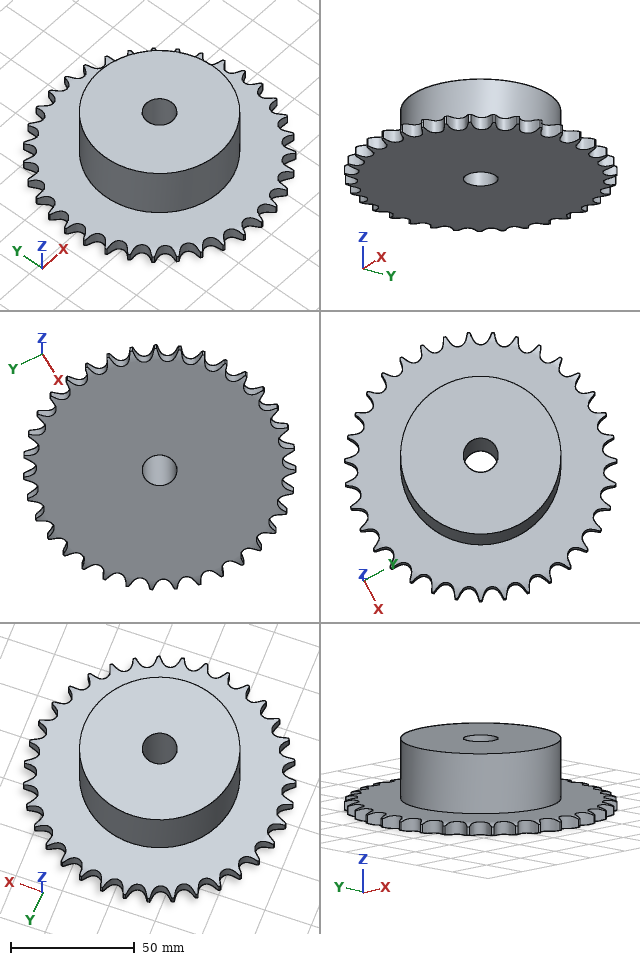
import cadquery as cq
import math

TOOTH_COUNT = 35
PITCH_DIAMETER = 106.2
ROLLER_DIAMETER = 6.4
ROLLER_CLEARANCE = 0.039
TIP_DIAMETER = 110.4
PLATE_THICKNESS = 5.3
FLAT_FACE_DIAMETER = 101.5
TOOTH_SIDE_RADIUS = 10.8
HUB_DIAMETER = 65.0
BORE_DIAMETER = 14.0
TOTAL_HEIGHT = 30.0

TOOTH_ANGLE = 360 / TOOTH_COUNT
PITCH_RADIUS = PITCH_DIAMETER / 2
TIP_RADIUS = TIP_DIAMETER / 2
FLAT_FACE_RADIUS = FLAT_FACE_DIAMETER / 2

SEAT_RADIUS = 0.5025 * ROLLER_DIAMETER + ROLLER_CLEARANCE
WORKING_CENTRE_DISTANCE = 0.8 * ROLLER_DIAMETER
WORKING_RADIUS = SEAT_RADIUS + WORKING_CENTRE_DISTANCE
TOPPING_CENTRE_DISTANCE = 1.4 * ROLLER_DIAMETER
SEAT_END_ANGLE = 35 + 60 / TOOTH_COUNT
WORKING_SPAN_ANGLE = 18 - 56 / TOOTH_COUNT

GAP_OVERSHOOT = 0.2


def make_plate_blank():
    """Disc whose rim curves inward on both sides, tangent to the flat faces."""
    rim_width = TIP_RADIUS - FLAT_FACE_RADIUS

    def side_drop(distance):
        return TOOTH_SIDE_RADIUS - math.sqrt(TOOTH_SIDE_RADIUS**2 - distance**2)

    mid_radius = FLAT_FACE_RADIUS + rim_width / 2
    mid_drop = side_drop(rim_width / 2)
    tip_drop = side_drop(rim_width)
    return (
        cq.Workplane("XZ")
        .lineTo(FLAT_FACE_RADIUS, 0)
        .threePointArc((mid_radius, mid_drop), (TIP_RADIUS, tip_drop))
        .lineTo(TIP_RADIUS, PLATE_THICKNESS - tip_drop)
        .threePointArc((mid_radius, PLATE_THICKNESS - mid_drop), (FLAT_FACE_RADIUS, PLATE_THICKNESS))
        .lineTo(0, PLATE_THICKNESS)
        .close()
        .revolve(360, (0, 0, 0), (0, 1, 0))
    )


def point_from(centre, distance, angle):
    """Point at a distance from a centre, along an angle in degrees from +X."""
    radians = math.radians(angle)
    return (centre[0] + distance * math.cos(radians), centre[1] + distance * math.sin(radians))


def mirrored(point):
    """The same point on the other side of the Y axis."""
    return (-point[0], point[1])


def make_tooth_gap():
    """Cutter for the gap on the +Y axis, between two neighbouring teeth.

    From its bottom, each side is the roller seat, the concave working curve,
    a short straight, and the convex topping curve, all tangent.
    """
    roller_centre = (0, PITCH_RADIUS)
    working_end_angle = SEAT_END_ANGLE - WORKING_SPAN_ANGLE
    working_mid_angle = SEAT_END_ANGLE - WORKING_SPAN_ANGLE / 2

    seat_bottom = (0, PITCH_RADIUS - SEAT_RADIUS)
    seat_end = point_from(roller_centre, SEAT_RADIUS, -SEAT_END_ANGLE)

    working_centre = point_from(roller_centre, WORKING_CENTRE_DISTANCE, 180 - SEAT_END_ANGLE)
    working_mid = point_from(working_centre, WORKING_RADIUS, -working_mid_angle)
    working_end = point_from(working_centre, WORKING_RADIUS, -working_end_angle)

    topping_centre = point_from(roller_centre, TOPPING_CENTRE_DISTANCE, -TOOTH_ANGLE / 2)
    slope = math.radians(working_end_angle)
    topping_radius = (topping_centre[0] - working_end[0]) * math.cos(slope) - (
        topping_centre[1] - working_end[1]
    ) * math.sin(slope)
    topping_start = point_from(topping_centre, topping_radius, 180 - working_end_angle)

    outer_y = TIP_RADIUS + GAP_OVERSHOOT
    outer_angle = 180 - math.degrees(math.asin((outer_y - topping_centre[1]) / topping_radius))
    topping_mid_angle = (180 - working_end_angle + outer_angle) / 2
    topping_mid = point_from(topping_centre, topping_radius, topping_mid_angle)
    topping_end = point_from(topping_centre, topping_radius, outer_angle)

    return (
        cq.Workplane("XY")
        .moveTo(*mirrored(seat_end))
        .threePointArc(seat_bottom, seat_end)
        .threePointArc(working_mid, working_end)
        .lineTo(*topping_start)
        .threePointArc(topping_mid, topping_end)
        .lineTo(*mirrored(topping_end))
        .threePointArc(mirrored(topping_mid), mirrored(topping_start))
        .lineTo(*mirrored(working_end))
        .threePointArc(mirrored(working_mid), mirrored(seat_end))
        .close()
        .extrude(PLATE_THICKNESS)
    )


def make_toothed_plate():
    """Plate with one tooth gap centred on +Y and the rest spaced evenly round."""
    plate = make_plate_blank()
    gap = make_tooth_gap()
    for index in range(TOOTH_COUNT):
        plate = plate.cut(gap.rotate((0, 0, 0), (0, 0, 1), index * TOOTH_ANGLE))
    return plate


hub = cq.Workplane("XY").circle(HUB_DIAMETER / 2).extrude(TOTAL_HEIGHT)
bore = cq.Workplane("XY").circle(BORE_DIAMETER / 2).extrude(TOTAL_HEIGHT)

result = make_toothed_plate().union(hub).cut(bore)